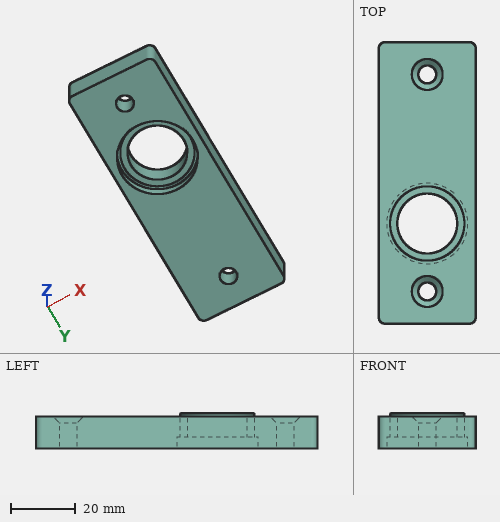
import cadquery as cq

plate_length = 87.0
plate_width = 30.0
plate_thickness = 10.0
corner_radius = 2.0

screw_offset = 33.5
screw_hole_diameter = 5.5
countersink_diameter = 9.6
countersink_angle = 90.0

bushing_y = -12.5
bushing_outer_diameter = 23.0
bushing_bore_diameter = 18.45
bushing_protrusion = 1.0
bushing_rim_radius = 0.5

counterbore_diameter = 25.0
counterbore_depth = 3.6

bushing_height = plate_thickness + bushing_protrusion - counterbore_depth


def disc(diameter, bottom_z, height):
    """Solid cylinder on the bushing axis, rising from bottom_z."""
    return (
        cq.Workplane("XY", origin=(0, bushing_y, bottom_z))
        .circle(diameter / 2)
        .extrude(height)
    )


def make_plate():
    """Rounded plate with two countersunk holes and the stepped bushing seat."""
    block = (
        cq.Workplane("XY")
        .box(plate_width, plate_length, plate_thickness, centered=(True, True, False))
        .edges("|Z")
        .fillet(corner_radius)
    )
    drilled = (
        block.faces(">Z")
        .workplane(origin=(0, 0, plate_thickness))
        .pushPoints([(0, -screw_offset), (0, screw_offset)])
        .cskHole(screw_hole_diameter, countersink_diameter, countersink_angle)
    )
    seat = disc(bushing_outer_diameter, 0, plate_thickness)
    counterbore = disc(counterbore_diameter, 0, counterbore_depth)
    return drilled.cut(seat).cut(counterbore)


def make_bushing():
    """Plain sleeve with a rounded outer edge at its top."""
    sleeve = (
        disc(bushing_outer_diameter, counterbore_depth, bushing_height)
        .faces(">Z")
        .edges()
        .fillet(bushing_rim_radius)
    )
    bore = disc(bushing_bore_diameter, counterbore_depth, bushing_height)
    return sleeve.cut(bore)


plate = make_plate()
bushing = make_bushing()
result = cq.Compound.makeCompound([plate.val(), bushing.val()])